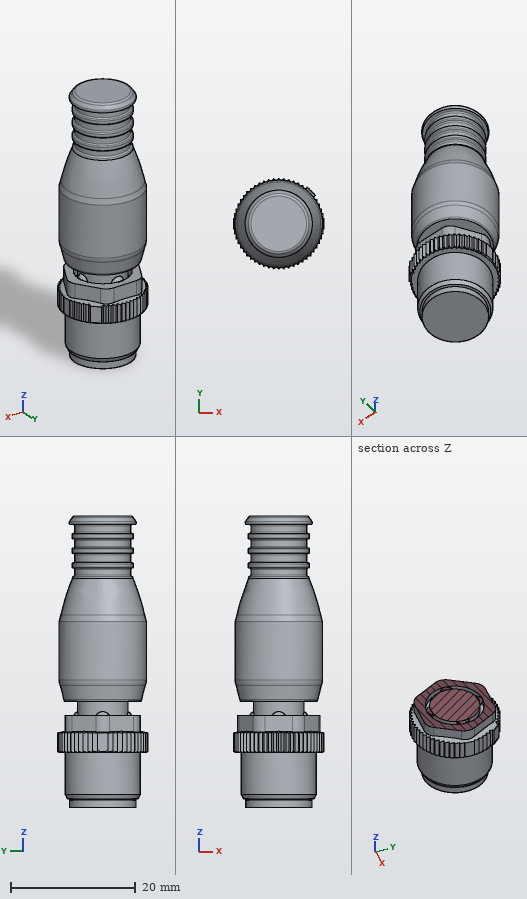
import cadquery as cq
import math


core_radius = 4.1
flange_radius = 5.35
flange_height = 1.2
core_groove_radius = 4.85

nut_bottom = 1.4
sleeve_radius = 6.05
sleeve_chamfer_width = 0.38
sleeve_chamfer_height = 0.75
nut_recess_radius = 4.7
hex_sides = 6
hex_corner_fillet = 2.15
hex_top = 14.85

knurl_bottom = 8.9
knurl_edge_top = 12.05
knurl_top = 12.3
knurl_chamfer = 0.25
knurl_diameter = 14.6
tooth_count = 56
tooth_tip_radius = knurl_diameter / 2
tooth_pitch = 2 * math.pi / tooth_count

marker_angle = 45
marker_width = 1.9
marker_distance = 7.43

detent_count = 4
ball_radius = 1.25
ball_middle_radius = 3.52
ball_middle_drop = 0.5
ball_middle_z = hex_top - ball_middle_drop
nut_recess_floor = ball_middle_z - ball_radius

boot_bottom = 17.1
boot_bottom_radius = 6.15
boot_bottom_chamfer_radius = 6.3
boot_bottom_chamfer_top = 17.4
lower_taper_radius = 6.85
lower_taper_top = 19.7

boot_radius = 7.05
barrel_bottom = 20.55
barrel_top = 30.0

shoulder_bottom_radius = 6.75
shoulder_bottom = 31.0
shoulder_middle_radius = 5.95
shoulder_middle = 34.0
shoulder_top_radius = 4.9
shoulder_top = 36.95

boot_neck_radius = 4.5
neck_bottom = 37.5
neck_flare_radius = 4.75
neck_flare = 37.22
neck_root_fillet = 0.21
rib_radius = 4.95
rib_width = 0.9
rib_fillet = 0.2
rib_count = 3
rib_pitch = 2.35
lowest_rib_middle = 39.0

collar_bottom = 45.6
collar_bottom_radius = 5.25
collar_taper_bottom_radius = 5.35
collar_taper_bottom = 46.1
collar_taper_top_radius = 4.9
collar_taper_top = 46.75
collar_top_radius = 4.45
boot_top = 47.0


def turned(profile):
    """Solid of revolution about Z from (radius, height) points."""
    return cq.Workplane("XZ").polyline(profile).close().revolve()


def disc(radius, bottom, top):
    return cq.Workplane("XY", origin=(0, 0, bottom)).circle(radius).extrude(top - bottom)


def make_core():
    return turned(
        [
            (0, 0),
            (flange_radius, 0),
            (flange_radius, flange_height),
            (core_groove_radius, flange_height),
            (core_groove_radius, nut_bottom),
            (core_radius, nut_bottom),
            (core_radius, boot_bottom),
            (0, boot_bottom),
        ]
    )


def tooth_tip(index):
    angle = index * tooth_pitch
    return (tooth_tip_radius * math.cos(angle), tooth_tip_radius * math.sin(angle))


def step_root(index):
    """Inner corner of the square step between a tip and the next one, for the sides facing X."""
    x1, y1 = tooth_tip(index)
    x2, y2 = tooth_tip(index + 1)
    inner_x = min(abs(x1), abs(x2))
    inner_y = min(abs(y1), abs(y2))
    return (math.copysign(inner_x, x1 + x2), math.copysign(inner_y, y1 + y2))


def vee_root(index):
    """Bottom of the right-angled groove between a tip and the next one, for the sides facing Y."""
    half_pitch = tooth_pitch / 2
    middle_angle = index * tooth_pitch + half_pitch
    root_radius = tooth_tip_radius * (math.cos(half_pitch) - math.sin(half_pitch))
    return (root_radius * math.cos(middle_angle), root_radius * math.sin(middle_angle))


def knurl_outline():
    """Tips and roots in turn; the steps beside the X axis merge into one flat across it."""
    half_count = tooth_count // 2
    points = []
    for index in range(tooth_count):
        place_in_half = index % half_count
        middle_angle = (index + 0.5) * tooth_pitch
        faces_x = abs(math.cos(middle_angle)) > abs(math.sin(middle_angle))
        if place_in_half == 0:
            continue
        points.append(tooth_tip(index))
        if place_in_half < half_count - 1:
            points.append(step_root(index) if faces_x else vee_root(index))
    return points


def make_knurl():
    height = knurl_top - knurl_bottom
    base = cq.Workplane("XY", origin=(0, 0, knurl_bottom))
    teeth = base.polyline(knurl_outline()).close().extrude(height)
    marker = base.rect(marker_distance, marker_width).extrude(height)
    marker = marker.translate((marker_distance / 2, 0, 0)).rotate((0, 0, 0), (0, 0, 1), marker_angle)

    marker_corner_radius = math.hypot(marker_distance, marker_width / 2)
    envelope = turned(
        [
            (0, knurl_bottom),
            (tooth_tip_radius - knurl_chamfer, knurl_bottom),
            (tooth_tip_radius, knurl_bottom + knurl_chamfer),
            (marker_corner_radius, knurl_bottom + knurl_chamfer),
            (marker_corner_radius, knurl_edge_top),
            (tooth_tip_radius, knurl_edge_top),
            (sleeve_radius, knurl_top),
            (0, knurl_top),
        ]
    )
    return teeth.union(marker).intersect(envelope)


def make_sleeve():
    return turned(
        [
            (0, nut_bottom),
            (sleeve_radius - sleeve_chamfer_width, nut_bottom),
            (sleeve_radius, nut_bottom + sleeve_chamfer_height),
            (sleeve_radius, knurl_top),
            (0, knurl_top),
        ]
    )


def make_hexagon():
    """Hexagon whose flats touch the sleeve's circle, two of them facing Y."""
    corner_radius = sleeve_radius / math.cos(math.pi / hex_sides)
    return (
        cq.Workplane("XY", origin=(0, 0, knurl_bottom))
        .polygon(hex_sides, 2 * corner_radius)
        .extrude(hex_top - knurl_bottom)
        .edges("|Z")
        .fillet(hex_corner_fillet)
    )


def make_nut(core):
    recess = disc(nut_recess_radius, nut_recess_floor, hex_top)
    return make_sleeve().union(make_hexagon()).union(make_knurl()).cut(recess).cut(core)


def make_detent(index, core):
    """Ball trimmed to the ring-shaped gap between the core and the nut's recess."""
    ball = cq.Workplane("XY").sphere(ball_radius).translate((ball_middle_radius, 0, ball_middle_z))
    inside_recess = disc(nut_recess_radius, nut_recess_floor, boot_bottom)
    detent = ball.intersect(inside_recess).cut(core)
    return detent.rotate((0, 0, 0), (0, 0, 1), index * 360 / detent_count)


def make_boot_body():
    profile = (
        cq.Workplane("XZ")
        .moveTo(0, boot_top)
        .lineTo(collar_top_radius, boot_top)
        .tangentArcPoint((collar_taper_top_radius, collar_taper_top), relative=False)
        .lineTo(collar_taper_bottom_radius, collar_taper_bottom)
        .tangentArcPoint((collar_bottom_radius, collar_bottom), relative=False)
        .lineTo(boot_neck_radius, collar_bottom)
        .lineTo(boot_neck_radius, neck_bottom)
        .tangentArcPoint((neck_flare_radius, neck_flare), relative=False)
        .tangentArcPoint((shoulder_top_radius, shoulder_top), relative=False)
        .threePointArc((shoulder_middle_radius, shoulder_middle), (shoulder_bottom_radius, shoulder_bottom))
        .tangentArcPoint((boot_radius, barrel_top), relative=False)
        .lineTo(boot_radius, barrel_bottom)
        .tangentArcPoint((lower_taper_radius, lower_taper_top), relative=False)
        .lineTo(boot_bottom_chamfer_radius, boot_bottom_chamfer_top)
        .lineTo(boot_bottom_radius, boot_bottom)
        .lineTo(0, boot_bottom)
        .close()
    )
    return profile.revolve()


def make_rib(index):
    middle = lowest_rib_middle + index * rib_pitch
    rib = disc(rib_radius, middle - rib_width / 2, middle + rib_width / 2)
    return rib.edges().fillet(rib_fillet)


def is_neck_root(edge):
    """Circle where the neck meets a rib or the collar, but not its smooth flare into the shoulder."""
    tolerance = 0.005
    if edge.geomType() != "CIRCLE" or abs(edge.radius() - boot_neck_radius) > tolerance:
        return False
    return edge.Center().z > neck_bottom + tolerance


def make_boot():
    boot = make_boot_body()
    for index in range(rib_count):
        boot = boot.union(make_rib(index))
    return boot.edges().filter(is_neck_root).fillet(neck_root_fillet)


core = make_core()
nut = make_nut(core)
detents = [make_detent(index, core) for index in range(detent_count)]
boot = make_boot()

result = cq.Compound.makeCompound(
    [core.val(), nut.val(), boot.val(), *[detent.val() for detent in detents]]
)